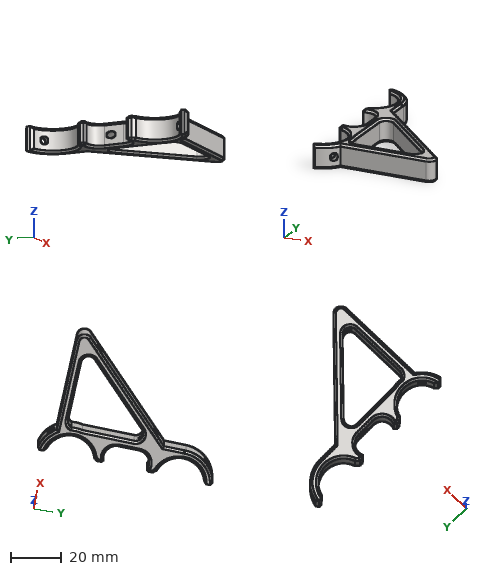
import cadquery as cq
import math

thickness = 10.0
length_x = 50.0
edge_chamfer = 1.0

ring_x = -1.75
ring_y = 22.15
ring_inner_radius = 10.0
ring_outer_radius = 13.3
ring_back_x = ring_x + ring_outer_radius

notch_depth = 7.75
notch_radius = 5.0
notch_flat = 8.3
notch_length = notch_flat + 2 * notch_radius

tip_flat = 1.55
tip_offset = 10.4
tip_depth = 2.0
tip_side_slope = 1.2

frame_bottom_y = -29.4
bar_width = 3.5
corner_radius = 3.0

ring_hole_diameter = 3.2
cord_hole_diameter = 2.8
notch_hole_y = 1.35
nose_hole_offset = 64.0
notch_start_x = 5.6
nose_start_x = 39.4
hole_reach = 21.1

nose_x = length_x - corner_radius
nose_y = frame_bottom_y + corner_radius
back_line = nose_x + nose_y + math.sqrt(2) * corner_radius
window_line = back_line - math.sqrt(2) * bar_width


def extrude_centred(outline):
    return outline.extrude(thickness).translate((0, 0, -thickness / 2))


def plate(outline):
    """Full-height plate centred on Z = 0, with its top and bottom edges chamfered."""
    solid = extrude_centred(outline)
    return solid.faces("<Z or >Z").chamfer(edge_chamfer)


def opening(outline, corner_fillet=0):
    """Full-height cutter that flares at both ends, leaving chamfered edges."""
    core = extrude_centred(outline)
    if corner_fillet:
        core = core.edges("|Z").fillet(corner_fillet)
    mouth = (
        cq.Workplane("XY", origin=(0, 0, thickness / 2 - edge_chamfer))
        .add(core.faces(">Z").wires().translate((0, 0, -edge_chamfer)))
        .toPending()
        .extrude(edge_chamfer, taper=-45)
    )
    return core.union(mouth).union(mouth.mirror("XY"))


def ring_outline(y, radius):
    return cq.Workplane("XY").center(ring_x, y).circle(radius)


def triangle_outline(left, bottom, diagonal):
    """Right triangle closed by the line X + Y = diagonal."""
    corners = [(left, bottom), (diagonal - bottom, bottom), (left, diagonal - left)]
    return cq.Workplane("XY").polyline(corners).close()


def outer_body():
    """Ring discs, the web joining them and the solid triangle, cut off flat at X = 0."""
    web = plate(cq.Workplane("XY").rect(2 * ring_back_x, 2 * ring_y))
    triangle = extrude_centred(triangle_outline(notch_depth, frame_bottom_y, back_line))
    triangle = triangle.edges("|Z and >X").fillet(corner_radius)
    body = web.union(triangle.faces("<Z or >Z").chamfer(edge_chamfer))
    for y in (ring_y, -ring_y):
        body = body.union(plate(ring_outline(y, ring_outer_radius)))
    front = cq.Workplane("XY").box(length_x, 2 * length_x, thickness).translate((-length_x / 2, 0, 0))
    return body.cut(front)


def frame_window():
    """Triangular opening with rounded corners that leaves the back of the lower ring whole."""
    left = notch_depth + bar_width
    bottom = frame_bottom_y + bar_width
    window = opening(triangle_outline(left, bottom, window_line), corner_radius)
    return window.cut(plate(ring_outline(-ring_y, ring_outer_radius)))


def finger_openings():
    """Round openings of both rings and the long notch between them."""
    notch = cq.Workplane("XY").center(notch_depth - notch_radius, 0)
    cutter = opening(notch.slot2D(notch_length, 2 * notch_radius, 90))
    for y in (ring_y, -ring_y):
        cutter = cutter.union(opening(ring_outline(y, ring_inner_radius)))
    return cutter


def middle_tip_cutter(y):
    """Trims a tip beside the notch to a narrow flat with sloping sides, top and bottom edges bevelled."""
    half_flat = tip_flat / 2
    half_base = half_flat + 2 * tip_depth * tip_side_slope
    trapezoid = cq.Workplane("XY").polyline(
        [
            (0, y - half_flat),
            (2 * tip_depth, y - half_base),
            (2 * tip_depth, y + half_base),
            (0, y + half_flat),
        ]
    ).close()
    blank = cq.Workplane("XY").box(tip_depth, 2 * half_base, thickness)
    return blank.translate((tip_depth / 2, y, 0)).cut(plate(trapezoid))


def chamfer_end_tips(body):
    """Bevels the upright edges of the outermost tip of each ring."""
    edges = body.edges("|Z and <X").filter(lambda edge: abs(edge.Center().y) > ring_y)
    return edges.chamfer(edge_chamfer)


def hole(x, y, direction_y, diameter):
    """Cylinder starting at (x, y), heading 45 degrees backwards and up or down in Y."""
    axis = cq.Vector(1, direction_y, 0)
    return cq.Workplane(cq.Solid.makeCylinder(diameter / 2, hole_reach, cq.Vector(x, y, 0), axis))


result = outer_body().cut(frame_window()).cut(finger_openings())
result = chamfer_end_tips(result)
for tip_y in (tip_offset, -tip_offset):
    result = result.cut(middle_tip_cutter(tip_y))

result = result.cut(hole(ring_x, ring_y, 1, ring_hole_diameter))
result = result.cut(hole(ring_x, -ring_y, -1, ring_hole_diameter))

result = result.cut(hole(notch_start_x, notch_hole_y - notch_depth + notch_start_x, 1, cord_hole_diameter))
result = result.cut(hole(nose_start_x, nose_start_x - nose_hole_offset, 1, cord_hole_diameter))